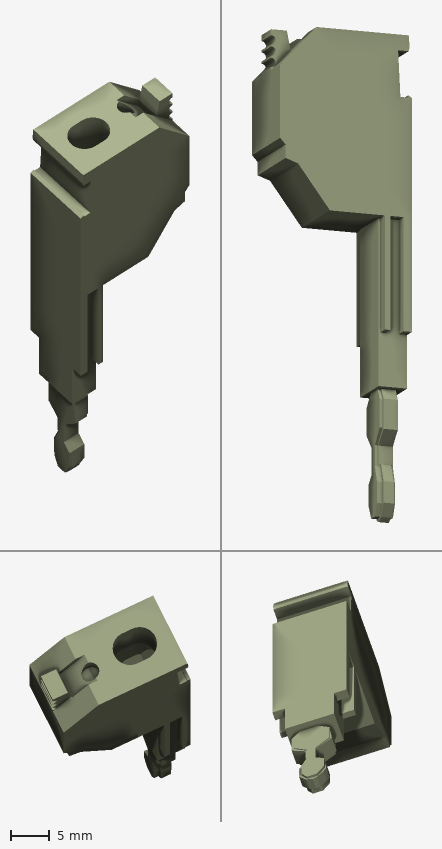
import cadquery as cq

total_height = 63.8
width = 10.15
depth = 18.25

housing_bottom = 39.55
flange_bottom = 24.4
stem_bottom = 17.2

lip_front = 0.3
lip_top_front = 0.45
lip_bottom_front = 0.45
lip_bottom = 61.7
lip_face_bottom = 62.3
ledge_height = 55.5
groove_bottom_y = 1.6
groove_top_y = 1.9
nib_height = 0.3
nib_crest_y = 0.5

shoulder_top_y = 13.2
shoulder_bottom_z = 58.4
shoulder_slope = (total_height - shoulder_bottom_z) / (depth - shoulder_top_y)

rear_face_bottom = 48.6
rear_step_y = 17.5
rear_step_top, rear_step_bottom = 47.8, 46.0
rear_slope_top_y, rear_slope_top_z = 15.75, 45.4
rear_slope_bottom_y = 11.35

stem_width = 6.7
stem_depth = 3.95
front_flange_back = 1.15
rear_flange_front = 3.0
rear_flange_back = 3.75

slot_left, slot_right = -2.05, 1.8
slot_top_y = 11.9
slot_rear_y = 15.55
tab_left, tab_right = -1.85, 1.65
tab_front_top_y = 16.1
tooth_count = 3
tooth_row = 3.0
tooth_pitch = tooth_row / (tooth_count - 1)
tooth_radius = 0.605
first_tooth_z = 62.4

probe_x, probe_y = -0.5, 12.2
probe_radius = 1.15
probe_depth = 2.55

well_width = 4.45
well_front, well_back = 2.6, 8.5
well_straight_depth = 7.65
funnel_depth = 1.6
well_floor_x = -0.225
well_floor_width = 2.9
well_floor_front, well_floor_back = 3.45, 7.6
well_floor_flat_y = 4.2

plate_front, plate_back = 0.95, 3.45
upper_core_front = 1.1
lower_core_front = 1.3
upper_core_back = 3.05
lower_core_back = 2.7
core_split_z = 7.45
blade_root = 0.65


def box(x0, x1, y0, y1, z0, z1):
    """Axis-aligned box between two corners."""
    return cq.Workplane("XY").box(x1 - x0, y1 - y0, z1 - z0, centered=False).translate((x0, y0, z0))


def side_prism(points, x0, x1):
    """Extrude a (Y, Z) outline along X from x0 to x1."""
    return cq.Workplane("YZ", origin=(x0, 0, 0)).polyline(points).close().extrude(x1 - x0)


def front_prism(points, y0, y1):
    """Extrude an (X, Z) outline along Y from y0 to y1."""
    return cq.Workplane("XZ", origin=(0, y0, 0)).polyline(points).close().extrude(y0 - y1)


def shoulder_z(y):
    """Height of the sloped shoulder at a given Y."""
    return total_height - (y - shoulder_top_y) * shoulder_slope


def make_housing():
    outline = [
        (0, housing_bottom),
        (0, ledge_height),
        (nib_crest_y, ledge_height + nib_height),
        (nib_crest_y, ledge_height),
        (groove_bottom_y, ledge_height),
        (groove_top_y, lip_bottom),
        (lip_bottom_front, lip_bottom),
        (lip_front, lip_face_bottom),
        (lip_top_front, total_height),
        (shoulder_top_y, total_height),
        (depth, shoulder_bottom_z),
        (depth, rear_face_bottom),
        (rear_step_y, rear_step_top),
        (rear_step_y, rear_step_bottom),
        (rear_slope_top_y, rear_slope_top_z),
        (rear_slope_bottom_y, housing_bottom),
    ]
    return side_prism(outline, -width / 2, width / 2)


def make_stem():
    half_stem, half_width = stem_width / 2, width / 2
    core = box(-half_stem, half_stem, 0, stem_depth, stem_bottom, housing_bottom)
    front = box(-half_width, half_width, 0, front_flange_back, flange_bottom, housing_bottom)
    rear = box(-half_width, half_width, rear_flange_front, rear_flange_back, flange_bottom, housing_bottom)
    return core.union(front).union(rear)


def make_ratchet_tab():
    outline = [
        (depth, shoulder_bottom_z),
        (depth, total_height),
        (tab_front_top_y, total_height),
        (slot_rear_y, shoulder_z(slot_rear_y)),
    ]
    tab = side_prism(outline, tab_left, tab_right)
    for i in range(tooth_count):
        notch = (
            cq.Workplane("YZ", origin=(tab_left, 0, 0))
            .center(depth, first_tooth_z - i * tooth_pitch)
            .circle(tooth_radius)
            .extrude(tab_right - tab_left)
        )
        tab = tab.cut(notch)
    return tab


def make_slot():
    """Slot whose floor runs parallel to the shoulder and ends on the top face."""
    floor_drop = (slot_rear_y - slot_top_y) * shoulder_slope
    outline = [
        (slot_top_y, total_height),
        (slot_rear_y, total_height),
        (slot_rear_y, total_height - floor_drop),
    ]
    return side_prism(outline, slot_left, slot_right)


def make_probe_hole():
    """Flat-bottomed hole; the floor rises at the shoulder slope in front of the slot edge."""
    floor_z = total_height - probe_depth
    hole = (
        cq.Workplane("XY", origin=(probe_x, probe_y, floor_z))
        .circle(probe_radius)
        .extrude(probe_depth)
    )
    front_y = probe_y - probe_radius
    ramp = [
        (slot_top_y, floor_z),
        (front_y, floor_z),
        (front_y, floor_z + (slot_top_y - front_y) * shoulder_slope),
    ]
    return hole.cut(side_prism(ramp, probe_x - probe_radius, probe_x + probe_radius))


def obround_wire(x, front, back, radius, z):
    """Obround outline elongated along Y, in a horizontal plane at height z."""
    return (
        cq.Workplane("XY", origin=(x, 0, z))
        .moveTo(-radius, front + radius)
        .lineTo(-radius, back - radius)
        .threePointArc((0, back), (radius, back - radius))
        .lineTo(radius, front + radius)
        .threePointArc((0, front), (-radius, front + radius))
        .close()
        .val()
    )


def make_well():
    """Straight obround well ending in a funnel whose front wall is a sloping plane."""
    radius = well_width / 2
    funnel_top = total_height - well_straight_depth
    floor_z = funnel_top - funnel_depth
    mouth = obround_wire(0, well_front, well_back, radius, total_height)
    throat = obround_wire(0, well_front, well_back, radius, funnel_top)
    floor = obround_wire(well_floor_x, well_floor_front, well_floor_back, well_floor_width / 2, floor_z)
    shaft = cq.Workplane(cq.Solid.makeLoft([mouth, throat], True))
    funnel = cq.Workplane(cq.Solid.makeLoft([throat, floor], True))
    behind_slope = [
        (well_front, funnel_top),
        (well_floor_flat_y, floor_z),
        (well_back, floor_z),
        (well_back, funnel_top),
    ]
    return shaft.union(funnel.intersect(side_prism(behind_slope, -radius, radius)))


def make_blade():
    root_z = stem_bottom + blade_root
    plate_outline = [
        (-1.65, root_z), (-1.65, stem_bottom), (-2.4, 15.75), (-2.4, 12.0), (-0.7, 10.0),
        (-0.7, 7.2), (-1.4, 5.05), (-1.4, 2.2), (-0.7, 0.54),
        (0.7, 0.54), (1.65, 2.5), (1.65, 5.2), (0.48, 6.4),
        (0.48, 9.8), (2.4, 12.0), (2.4, 15.5), (0.9, stem_bottom), (0.9, root_z),
    ]
    upper_core_outline = [
        (-2.05, root_z), (-2.05, stem_bottom), (-2.8, 15.75), (-2.8, 11.75), (-0.9, 9.95),
        (-0.9, core_split_z), (0.45, core_split_z), (0.45, 9.75), (2.7, 11.9),
        (2.35, 15.5), (0.8, stem_bottom), (0.8, root_z),
    ]
    lower_core_outline = [
        (-0.9, core_split_z), (-1.85, 5.05), (-1.85, 2.2), (-0.9, 0.5), (0, 0), (0.6, 0.25),
        (1.45, 1.45), (1.85, 2.4), (1.6, 5.15), (0.45, 6.4), (0.45, core_split_z),
    ]
    plate = front_prism(plate_outline, plate_front, plate_back)
    upper_core = front_prism(upper_core_outline, upper_core_front, upper_core_back)
    lower_core = front_prism(lower_core_outline, lower_core_front, lower_core_back)
    return plate.union(upper_core).union(lower_core)


housing = make_housing().cut(make_slot()).cut(make_probe_hole()).cut(make_well())
result = housing.union(make_stem()).union(make_ratchet_tab()).union(make_blade())